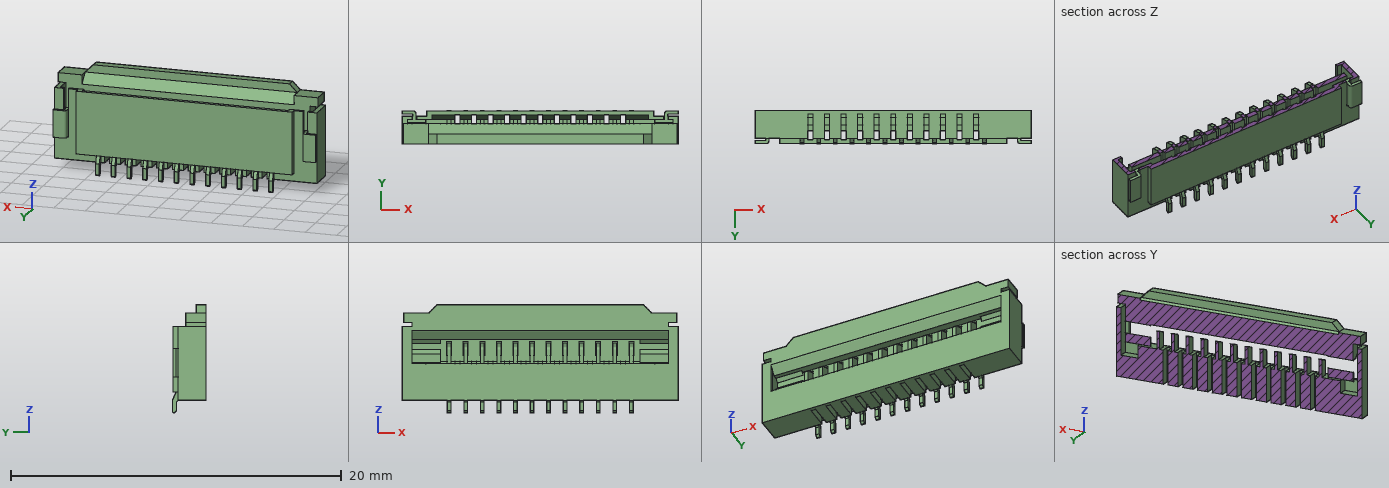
import cadquery as cq


LENGTH = 16.7
HOUSING_HEIGHT = 4.48
BODY_DEPTH = 1.7
RAIL_BACK = 2.02
RAIL_HALF_LENGTH = 6.88
RAIL_BOTTOM = 0.5

FRONT_WALL = 0.2
WINDOW_HALF_LENGTH = 7.77
FLOOR = 2.22
CAVITY_HALF_LENGTH = 8.03
CAVITY_BACK = 1.5
REAR_CAVITY_HALF_LENGTH = 6.55
REAR_CAVITY_BACK = 1.77
WEDGE_TOP = 4.0

LEVER_TOP = 5.8
LEVER_BOTTOM = 4.23
LEVER_DEPTH = 1.25
CREST_DEPTH = 0.62
CREST_HALF_LENGTH = 6.25
CREST_BEVEL = 0.5
SLOPE_BACK = 4.71
EAR_OUTER = 8.27
EAR_INNER = CREST_HALF_LENGTH + CREST_BEVEL
EAR_TOP = LEVER_TOP - CREST_BEVEL
EAR_BOTTOM = 4.71
LIP_HEIGHT = 0.1
LIP_DEPTH = 0.07
UNDERSIDE_DEPTH = 0.43
COMB_FRONT = 0.9
COMB_TOP = 3.67
COMB_BOTTOM = 2.37
COMB_SLOT_WIDTH = 0.3
COMB_SLOT_BOTTOM = 2.7
COMB_SLOT_TOP = 3.55

BAR_INNER = 6.03
BAR_FRONT = 0.67
BAR_BOTTOM = 2.29
BAR_SHOULDER = 2.82
BAR_TOP = 3.07
GUSSET_FRONT = 0.7
GUSSET_BOTTOM = 3.45

CONTACT_COUNT = 12
PITCH = 1.0
CONTACT_WIDTH = 0.23
CONTACT_FRONT = 0.25
CONTACT_BACK = 1.09
CONTACT_SHOULDER = 3.19
CONTACT_TOP = 3.47
CONTACT_ROUND = 0.2
OPENING_WIDTH = 0.3
OPENING_FRONT = 0.23
FOOT_BACK = 2.05
FOOT_FRONT = 1.79
FOOT_BOTTOM = -0.75
FOOT_TIP = 0.13

CLIP_BOTTOM = 1.42
CLIP_TOP = 3.15
CLIP_THICKNESS = 0.2
CLIP_BEND_RADIUS = 0.17
CLIP_INNER = 6.95
CLIP_BEND = 7.52
POCKET_INNER = 6.9
CLIP_SLOT_CLEARANCE = 0.05


def block(x0, x1, y0, y1, z0, z1):
    """Box given by its two limits along each axis."""
    return cq.Workplane("XY").box(x1 - x0, y1 - y0, z1 - z0, centered=False).translate((x0, y0, z0))


def slab(half_length, y0, y1, z0, z1):
    """Box that is symmetric about the middle of the connector."""
    return block(-half_length, half_length, y0, y1, z0, z1)


def side_prism(points, x0, x1):
    """Outline of (y, z) points extruded along X from x0 to x1."""
    return cq.Workplane("YZ").polyline(points).close().extrude(x1 - x0).translate((x0, 0, 0))


def both_ends(shape):
    """Shape together with its mirror image at the other end."""
    return shape.union(shape.mirror("YZ"))


CONTACT_PLACES = [(i - (CONTACT_COUNT - 1) / 2) * PITCH for i in range(CONTACT_COUNT)]
OPENING_PLACES = [x + PITCH / 2 for x in CONTACT_PLACES[:-1]]


def make_housing():
    housing = slab(LENGTH / 2, 0, BODY_DEPTH, 0, HOUSING_HEIGHT)
    housing = housing.union(slab(RAIL_HALF_LENGTH, BODY_DEPTH, RAIL_BACK, RAIL_BOTTOM, HOUSING_HEIGHT))
    housing = housing.cut(slab(WINDOW_HALF_LENGTH, 0, FRONT_WALL, FLOOR, HOUSING_HEIGHT))
    housing = housing.cut(slab(CAVITY_HALF_LENGTH, FRONT_WALL, CAVITY_BACK, FLOOR, HOUSING_HEIGHT))
    rear_outline = [
        (CAVITY_BACK, FLOOR),
        (REAR_CAVITY_BACK, WEDGE_TOP),
        (REAR_CAVITY_BACK, HOUSING_HEIGHT),
        (CAVITY_BACK, HOUSING_HEIGHT),
    ]
    housing = housing.cut(side_prism(rear_outline, -REAR_CAVITY_HALF_LENGTH, REAR_CAVITY_HALF_LENGTH))
    pocket = block(POCKET_INNER, CAVITY_HALF_LENGTH, FRONT_WALL, CAVITY_BACK, CLIP_BOTTOM, FLOOR)
    stem_slot = block(
        CLIP_BEND - CLIP_SLOT_CLEARANCE,
        CLIP_BEND + CLIP_THICKNESS + CLIP_SLOT_CLEARANCE,
        CAVITY_BACK,
        BODY_DEPTH,
        CLIP_BOTTOM,
        HOUSING_HEIGHT,
    )
    housing = housing.cut(both_ends(pocket.union(stem_slot)))
    for x in OPENING_PLACES:
        half = OPENING_WIDTH / 2
        housing = housing.cut(block(x - half, x + half, OPENING_FRONT, REAR_CAVITY_BACK, 0, HOUSING_HEIGHT))
    return housing


def make_lever():
    plate_outline = [
        (0, LEVER_BOTTOM),
        (0, EAR_TOP),
        (CREST_DEPTH, EAR_TOP),
        (LEVER_DEPTH, SLOPE_BACK),
        (LEVER_DEPTH, COMB_BOTTOM),
        (COMB_FRONT, COMB_BOTTOM),
        (COMB_FRONT, COMB_TOP),
        (UNDERSIDE_DEPTH, COMB_TOP),
        (LIP_DEPTH, LEVER_BOTTOM - LIP_HEIGHT),
    ]
    lever = side_prism(plate_outline, -WINDOW_HALF_LENGTH, WINDOW_HALF_LENGTH)
    crest = (
        cq.Workplane("XZ")
        .polyline([
            (-EAR_INNER, EAR_TOP),
            (-CREST_HALF_LENGTH, LEVER_TOP),
            (CREST_HALF_LENGTH, LEVER_TOP),
            (EAR_INNER, EAR_TOP),
        ])
        .close()
        .extrude(-CREST_DEPTH)
    )
    lever = lever.union(crest)
    ear = block(EAR_INNER, EAR_OUTER, 0, LEVER_DEPTH, EAR_BOTTOM, EAR_TOP)
    bar_outline = [
        (COMB_FRONT, BAR_BOTTOM),
        (BAR_FRONT, BAR_BOTTOM),
        (BAR_FRONT, BAR_SHOULDER),
        (COMB_FRONT, BAR_TOP),
        (LEVER_DEPTH, BAR_TOP),
        (LEVER_DEPTH, BAR_BOTTOM),
    ]
    gusset_outline = [(GUSSET_FRONT, COMB_TOP), (COMB_FRONT, GUSSET_BOTTOM), (COMB_FRONT, COMB_TOP)]
    bar = side_prism(bar_outline, BAR_INNER, WINDOW_HALF_LENGTH)
    gusset = side_prism(gusset_outline, BAR_INNER, WINDOW_HALF_LENGTH)
    lever = lever.union(both_ends(ear)).union(both_ends(bar)).union(both_ends(gusset))
    for x in CONTACT_PLACES:
        half = COMB_SLOT_WIDTH / 2
        slot = block(x - half, x + half, COMB_FRONT, LEVER_DEPTH, COMB_SLOT_BOTTOM, COMB_SLOT_TOP)
        lever = lever.cut(slot)
    return lever


def make_contact(x):
    """Upright blade with a rounded front corner, a low base behind it, and a solder foot below the rail."""
    left = x - CONTACT_WIDTH / 2
    right = x + CONTACT_WIDTH / 2
    blade_outline = [
        (CONTACT_FRONT, FLOOR),
        (CONTACT_FRONT, CONTACT_SHOULDER),
        (CONTACT_BACK, CONTACT_TOP),
        (CONTACT_BACK, FLOOR),
    ]
    blade = side_prism(blade_outline, left, right)
    blade = blade.edges(cq.NearestToPointSelector((x, CONTACT_FRONT, CONTACT_SHOULDER))).fillet(CONTACT_ROUND)
    base = block(left, right, CONTACT_BACK, CAVITY_BACK, FLOOR, COMB_BOTTOM)
    foot_outline = [
        (BODY_DEPTH, RAIL_BOTTOM),
        (BODY_DEPTH + FOOT_TIP, RAIL_BOTTOM),
        (FOOT_BACK, 0),
        (FOOT_BACK, FOOT_BOTTOM + FOOT_TIP / 2),
        (FOOT_BACK - FOOT_TIP / 2, FOOT_BOTTOM),
        (FOOT_FRONT + FOOT_TIP, FOOT_BOTTOM),
        (FOOT_FRONT, FOOT_BOTTOM + FOOT_TIP),
        (FOOT_FRONT, BODY_DEPTH - FOOT_FRONT),
        (BODY_DEPTH, 0),
    ]
    return blade.union(base).union(side_prism(foot_outline, left, right))


def make_clip():
    """Bent strip: a plate in the cavity, a stem through the back and an outward leg."""
    bend_outer = CLIP_BEND + CLIP_THICKNESS
    plate_front = CAVITY_BACK - CLIP_THICKNESS
    leg_front = RAIL_BACK - CLIP_THICKNESS
    plate = block(CLIP_INNER, CAVITY_HALF_LENGTH, plate_front, CAVITY_BACK, CLIP_BOTTOM, CLIP_TOP)
    stem = block(CLIP_BEND, bend_outer, plate_front, RAIL_BACK, CLIP_BOTTOM, CLIP_TOP)
    stem = stem.edges("|Z and >Y and <X").fillet(CLIP_BEND_RADIUS)
    leg = block(bend_outer, LENGTH / 2, leg_front, RAIL_BACK, CLIP_BOTTOM, CLIP_TOP)
    return plate.union(stem).union(leg)


result = make_housing().union(make_lever()).union(both_ends(make_clip()))
for place in CONTACT_PLACES:
    result = result.union(make_contact(place))